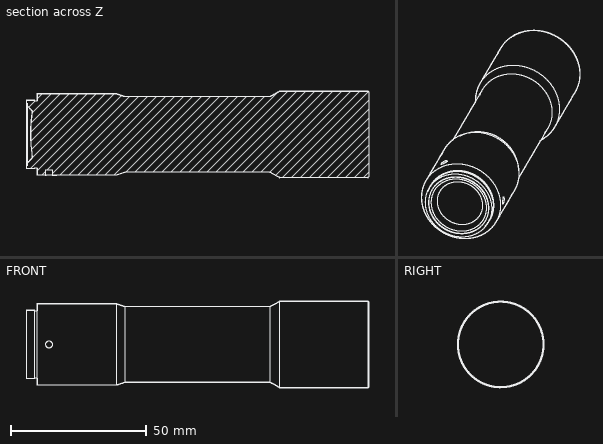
import cadquery as cq
import math

length = 126.6
flange_end = 3.0
collar_start = 3.9
collar_end = 33.3
shaft_start = 36.3
shaft_end = 90.0
head_start = 93.6

flange_radius = 12.7
groove_radius = 12.4
collar_radius = 15.1
shaft_radius = 14.0
head_diameter = 32.0
head_radius = head_diameter / 2
head_chamfer = 0.4

step_radius = 11.4
step_depth = 0.4
recess_mouth_radius = 10.5
recess_floor_radius = 8.6
recess_depth = 2.2
dome_height = 0.6

screw_count = 3
screw_radius = 1.3
screw_depth = 1.9
screw_station = 8.4
first_screw_angle = 180.0


def make_body():
    """Revolve the barrel and its end recess about the X axis."""
    sphere_radius = (recess_floor_radius**2 + dome_height**2) / (2 * dome_height)
    mid_radius = recess_floor_radius / 2
    sphere_center = recess_depth - dome_height + sphere_radius
    mid_station = sphere_center - math.sqrt(sphere_radius**2 - mid_radius**2)
    profile = (
        cq.Workplane("XY")
        .moveTo(recess_depth - dome_height, 0)
        .threePointArc((mid_station, mid_radius), (recess_depth, recess_floor_radius))
        .lineTo(step_depth, recess_mouth_radius)
        .lineTo(step_depth, step_radius)
        .lineTo(0, step_radius)
        .lineTo(0, flange_radius)
        .lineTo(flange_end, flange_radius)
        .lineTo(flange_end, groove_radius)
        .lineTo(collar_start, groove_radius)
        .lineTo(collar_start, collar_radius)
        .lineTo(collar_end, collar_radius)
        .lineTo(shaft_start, shaft_radius)
        .lineTo(shaft_end, shaft_radius)
        .lineTo(head_start, head_radius)
        .lineTo(length - head_chamfer, head_radius)
        .lineTo(length, head_radius - head_chamfer)
        .lineTo(length, 0)
        .close()
    )
    return profile.revolve(360, (0, 0, 0), (1, 0, 0))


def make_screw_hole(angle):
    """Blind radial hole; angle is measured from +Y towards +Z."""
    direction = cq.Vector(0, math.cos(math.radians(angle)), math.sin(math.radians(angle)))
    floor = cq.Vector(screw_station, 0, 0) + direction * (collar_radius - screw_depth)
    return cq.Solid.makeCylinder(screw_radius, 2 * screw_depth, floor, direction)


result = make_body()
for index in range(screw_count):
    result = result.cut(make_screw_hole(first_screw_angle + index * 360 / screw_count))